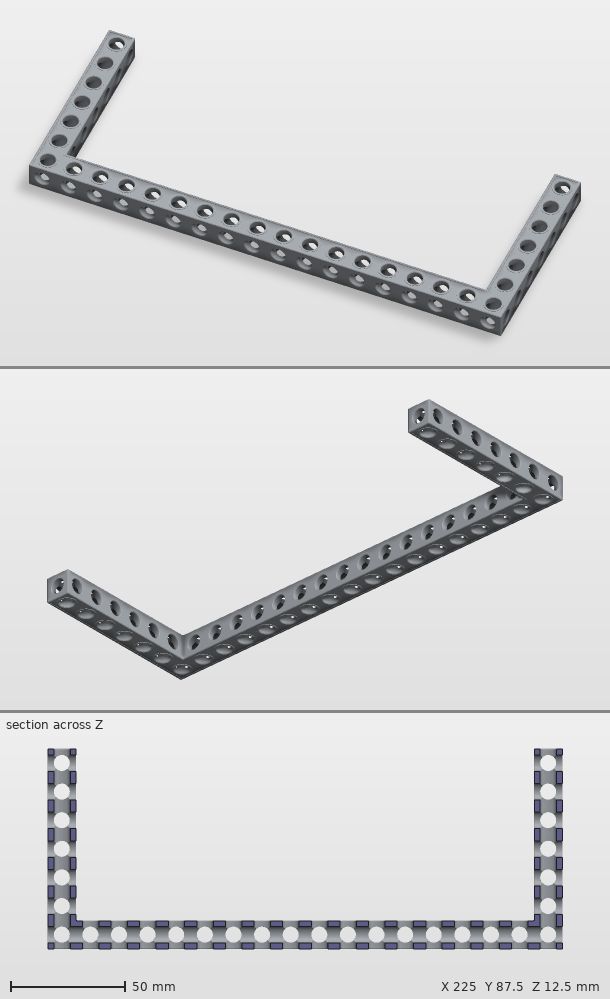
import cadquery as cq
length = 225.0
holes_along_base = 18
holes_along_arm = 7
hole_diameter = 7.0
wall = 1.1
recess_depth = 0.2
chamfer = 0.3

pitch = length / holes_along_base
bar = pitch
half_bar = bar / 2
depth = holes_along_arm * pitch
hole_radius = hole_diameter / 2
ring_radius = hole_radius + wall


def centers(count):
    """Distances of the hole centers from the outer faces of the frame."""
    return [half_bar + index * pitch for index in range(count)]


def u_plate(inset, bottom, height):
    """U-shaped plate whose outline lies inside the frame outline by the inset."""
    outline = [
        (inset, inset),
        (length - inset, inset),
        (length - inset, depth - inset),
        (length - bar + inset, depth - inset),
        (length - bar + inset, bar - inset),
        (bar - inset, bar - inset),
        (bar - inset, depth - inset),
        (inset, depth - inset),
    ]
    return cq.Workplane("XY").workplane(offset=bottom).polyline(outline).close().extrude(height)


def recess(bottom, places):
    """Shallow cutter inside the rim that leaves a ring around each vertical hole."""
    rings = cq.Workplane("XY").workplane(offset=bottom).pushPoints(places)
    return u_plate(wall, bottom, recess_depth).cut(rings.circle(ring_radius).extrude(recess_depth)).val()


def hole(start, end):
    """Round cutter between two faces, flared at both mouths."""
    first = cq.Vector(*start)
    last = cq.Vector(*end)
    span = last - first
    axis = span.normalized()
    mouth_radius = hole_radius + chamfer
    return [
        cq.Solid.makeCylinder(hole_radius, span.Length, first, axis),
        cq.Solid.makeCone(mouth_radius, hole_radius, chamfer, first, axis),
        cq.Solid.makeCone(mouth_radius, hole_radius, chamfer, last, axis * -1),
    ]


base_x = centers(holes_along_base)
arm_y = centers(holes_along_arm)
arm_x = (base_x[0], base_x[-1])

vertical_places = [(x, half_bar) for x in base_x]
vertical_places += [(x, y) for x in arm_x for y in arm_y[1:]]

cutters = [recess(0, vertical_places), recess(bar - recess_depth, vertical_places)]

for x, y in vertical_places:
    cutters += hole((x, y, 0), (x, y, bar))

for x in base_x:
    far_face = depth if x in arm_x else bar
    cutters += hole((x, 0, half_bar), (x, far_face, half_bar))

cutters += hole((0, half_bar, half_bar), (length, half_bar, half_bar))
for y in arm_y[1:]:
    for left in (0, length - bar):
        cutters += hole((left, y, half_bar), (left + bar, y, half_bar))

frame = u_plate(0, 0, bar).edges().chamfer(chamfer)
result = cq.Workplane(frame.val().cut(*cutters)).solids()